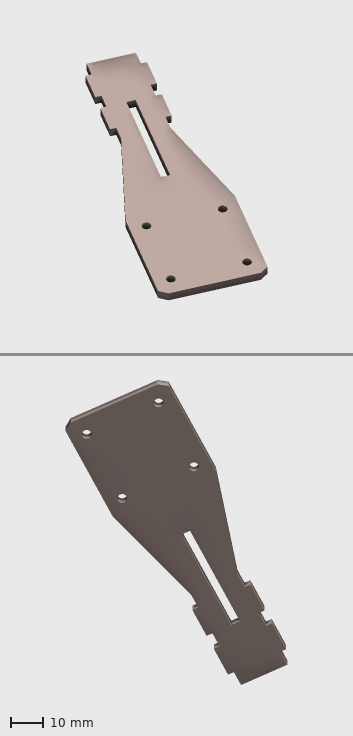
import cadquery as cq

length = 105.0
head_width = 35.55
thickness = 3.0

neck_width = 16.0
neck_length = 35.0
taper_length = 35.0

corner_length = 2.0
corner_width = 2.8

tab_length = 10.0
tab_gap = 5.0
tab_span = 20.0
tab_count = 2

slot_start = 2 * tab_gap + tab_length
slot_length = 35.0
slot_width = thickness

hole_diameter = 3.0
hole_pitch = 24.75
hole_end_distance = 5.9


def make_plate():
    """Neck, taper and head as one flat outline, mirrored about the X axis."""
    taper_end = neck_length + taper_length
    return (
        cq.Workplane("XY")
        .moveTo(0, 0)
        .lineTo(0, neck_width / 2)
        .lineTo(neck_length, neck_width / 2)
        .lineTo(taper_end, head_width / 2)
        .lineTo(length - corner_length, head_width / 2)
        .lineTo(length, head_width / 2 - corner_width)
        .lineTo(length, 0)
        .mirrorX()
        .extrude(thickness)
    )


def make_tab_pair(start):
    """Bar across the neck whose two ends form a pair of opposite tabs."""
    return (
        cq.Workplane("XY")
        .center(start + tab_length / 2, 0)
        .rect(tab_length, tab_span)
        .extrude(thickness)
    )


def make_slot():
    return (
        cq.Workplane("XY")
        .center(slot_start + slot_length / 2, 0)
        .rect(slot_length, slot_width)
        .extrude(thickness)
    )


def make_mounting_holes():
    pattern_center = length - hole_end_distance - hole_pitch / 2
    return (
        cq.Workplane("XY")
        .center(pattern_center, 0)
        .rect(hole_pitch, hole_pitch, forConstruction=True)
        .vertices()
        .circle(hole_diameter / 2)
        .extrude(thickness)
    )


result = make_plate()
for index in range(tab_count):
    result = result.union(make_tab_pair(tab_gap + index * (tab_length + tab_gap)))
result = result.cut(make_slot()).cut(make_mounting_holes())